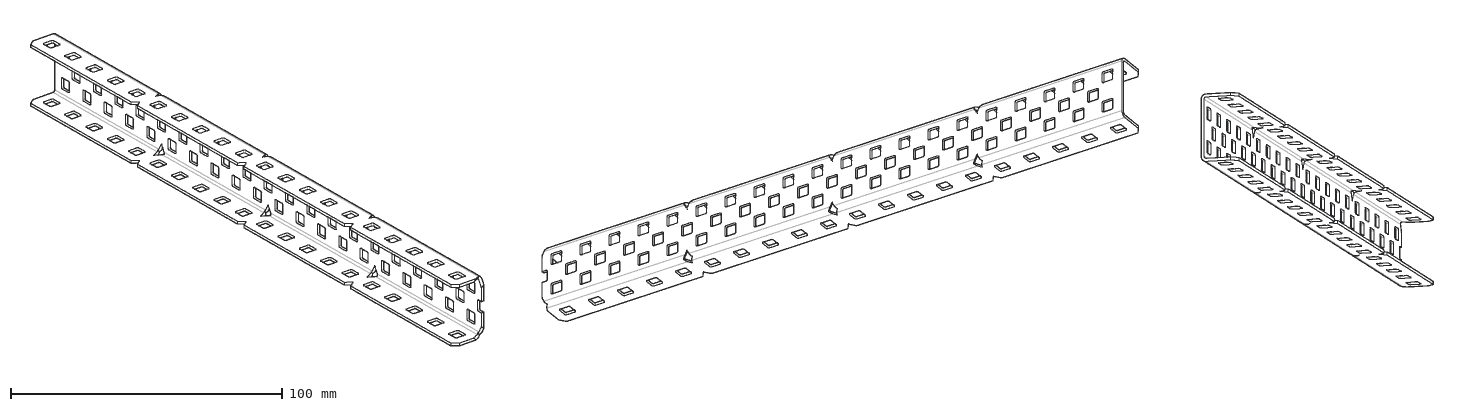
import cadquery as cq

length = 254.0
depth = 14.0
height = 25.5
thickness = 1.17
bend_radius = 1.98

columns = 20
hole_half_width = 2.3
hole_corner_radius = 0.48

holes_per_segment = 5
notch_half_width = 1.9
tip_notch_depth = 2.5
bend_notch_half_height = 2.5

pitch = length / columns
segment = pitch * holes_per_segment
segments = columns // holes_per_segment
edge_offset = pitch / 2
hole_width = 2 * hole_half_width
column_xs = [edge_offset + pitch * i for i in range(columns)]
middle_xs = [pitch * (i + 1) for i in range(columns)]
snap_xs = [segment * (i + 1) for i in range(segments)]


def u_section():
    """Plain channel with concentric inside and outside bends."""
    outer = (
        cq.Workplane("XY")
        .box(length, depth, height, centered=(False, False, True))
        .translate((0, -depth, 0))
        .edges("|X and >Y")
        .fillet(bend_radius)
    )
    inner = (
        cq.Workplane("XY")
        .box(length, depth, height - 2 * thickness, centered=(False, False, True))
        .translate((0, -depth - thickness, 0))
        .edges("|X and >Y")
        .fillet(bend_radius - thickness)
    )
    return outer.cut(inner)


def square_holes(plane, hole_edges, points, reach):
    """Square cutters with rounded corners, reaching to both sides of a plane."""
    return (
        cq.Workplane(plane)
        .pushPoints(points)
        .rect(hole_width, hole_width)
        .extrude(reach, both=True)
        .edges(hole_edges)
        .fillet(hole_corner_radius)
    )


def diamond(plane, half_height):
    """Closed diamond outline centred on the origin of a plane whose x axis is X."""
    corners = [(-notch_half_width, 0), (0, -half_height), (notch_half_width, 0), (0, half_height)]
    return cq.Workplane(plane).polyline(corners).close()


def tip_notch(x):
    """V notch in the tips of both flanges."""
    plane = cq.Plane(origin=(x, -depth, 0), xDir=(1, 0, 0), normal=(0, 0, 1))
    return diamond(plane, tip_notch_depth).extrude(height, both=True)


def bend_notch(x, side):
    """Diamond hole through one bend, along the bisector of its two walls."""
    plane = cq.Plane(origin=(x, 0, side * height / 2), xDir=(1, 0, 0), normal=(0, -1, -side))
    return diamond(plane, bend_notch_half_height).extrude(3 * bend_radius)


result = u_section()

web_points = [(x, z) for x in column_xs for z in (-edge_offset, edge_offset)]
web_points += [(x, 0) for x in middle_xs]
result = result.cut(square_holes("XZ", "|Y", web_points, 2 * thickness))

flange_points = [(x, edge_offset - depth) for x in column_xs]
result = result.cut(square_holes("XY", "|Z", flange_points, height))

for notch_x in [0] + snap_xs:
    result = result.cut(tip_notch(notch_x))

for notch_x in snap_xs:
    for bend_side in (-1, 1):
        result = result.cut(bend_notch(notch_x, bend_side))